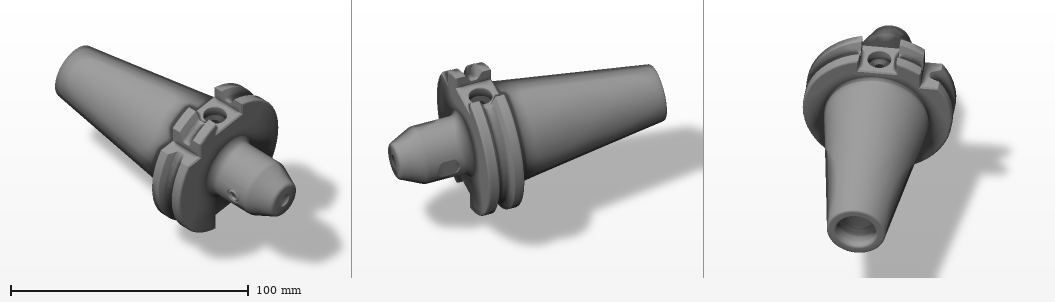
import cadquery as cq
import math


total_length = 118.4

taper_length = 68.9
taper_small_radius = 12.3
taper_large_radius = 22.3
taper_end_fillet = 1.0
collar_radius = 21.9
collar_cone_length = 1.1
collar_fillet = 0.4

flange_front = 71.4
flange_width = 16.0
flange_radius = 63.3 / 2
flange_edge_fillet = 1.0
flange_middle = flange_front + flange_width / 2
flange_back = flange_front + flange_width

groove_floor_radius = 28.1
groove_top_width = 7.3
groove_flank_angle = math.radians(30)
groove_corner_fillet = 1.2

slot_width = 16.1
upper_slot_floor = 25.0
lower_slot_floor = 22.5
notch_offset = 18.4
slot_edge_chamfer = 0.6

chip_radius = 5.0
chip_depth = 4.6
chip_chamfer = 0.2
cross_hole_radius = 1.9

nose_radius = 12.5
nose_cone_start = 107.7
nose_cone_angle = math.radians(24.5)
nose_blend_fillet = 2.5
nose_end_fillet = 1.8
root_arc_radius = 3.5
root_arc_length = 3.2

spot_x = 98.3
spot_radius = 5.0
spot_floor = 11.8

bore_radius = 3.0
counterbore_radius = 8.4
counterbore_mouth_fillet = 1.1
relief_start = 6.0
relief_floor_start = 7.5
relief_floor_end = 8.3
relief_radius = 8.8
thread_mouth_radius = 7.6
thread_core_radius = 6.9
thread_core_end = 32.0
drill_half_angle = math.radians(59)

screw_x = 100.4
screw_radius = 3.0
screw_head_y = -12.4
screw_tip_y = -2.5
screw_edge_chamfer = 0.5
screw_hole_chamfer = 0.4
socket_across_flats = 3.1
socket_depth = 3.5
socket_mouth_radius = 2.0


def turned(profile):
    """Full revolution about the X axis of a profile drawn as (x, radius)."""
    return profile.close().revolve(360, (0, 0, 0), (1, 0, 0))


def make_taper():
    collar_start = taper_length + collar_cone_length
    profile = (
        cq.Workplane("XZ")
        .lineTo(0, taper_small_radius)
        .lineTo(taper_length, taper_large_radius)
        .lineTo(collar_start, collar_radius)
        .lineTo(flange_front - collar_fillet, collar_radius)
        .radiusArc((flange_front, collar_radius + collar_fillet), -collar_fillet)
        .lineTo(flange_front, 0)
    )
    return turned(profile).faces("<X").edges().fillet(taper_end_fillet)


def make_flange():
    disc = (
        cq.Workplane("YZ", origin=(flange_front, 0, 0))
        .circle(flange_radius)
        .extrude(flange_width)
        .edges()
        .fillet(flange_edge_fillet)
    )
    return disc.cut(make_groove()).cut(make_slots())


def make_groove():
    depth = flange_radius - groove_floor_radius
    half_top = groove_top_width / 2
    half_floor = half_top - depth * math.tan(groove_flank_angle)
    tangent = groove_corner_fillet * math.tan((math.pi / 2 - groove_flank_angle) / 2)
    floor_x = half_floor - tangent
    flank_x = half_floor + tangent * math.sin(groove_flank_angle)
    flank_radius = groove_floor_radius + tangent * math.cos(groove_flank_angle)
    profile = (
        cq.Workplane("XZ")
        .moveTo(flange_middle - half_top, flange_radius)
        .lineTo(flange_middle - flank_x, flank_radius)
        .radiusArc((flange_middle - floor_x, groove_floor_radius), -groove_corner_fillet)
        .lineTo(flange_middle + floor_x, groove_floor_radius)
        .radiusArc((flange_middle + flank_x, flank_radius), -groove_corner_fillet)
        .lineTo(flange_middle + half_top, flange_radius)
    )
    return turned(profile)


def slot_cutter(y_min, y_max, z_min, z_max):
    """Box through the flange along X, flared to chamfer the edges on both flange faces."""
    width = y_max - y_min
    height = z_max - z_min
    centre = ((y_min + y_max) / 2, (z_min + z_max) / 2)
    cutter = (
        cq.Workplane("YZ", origin=(flange_front, 0, 0))
        .center(*centre)
        .rect(width, height)
        .extrude(flange_width)
    )
    for face_x, inward in ((flange_front, 1), (flange_back, -1)):
        flare = (
            cq.Workplane("YZ", origin=(face_x, 0, 0))
            .center(*centre)
            .rect(width + 2 * slot_edge_chamfer, height + 2 * slot_edge_chamfer)
            .workplane(offset=inward * slot_edge_chamfer)
            .rect(width, height)
            .loft()
        )
        cutter = cutter.union(flare)
    return cutter


def make_slots():
    beyond = flange_radius + 1.2
    half = slot_width / 2
    upper_slot = slot_cutter(-half, half, upper_slot_floor, beyond)
    lower_slot = slot_cutter(-half, half, -beyond, -lower_slot_floor)
    notch = slot_cutter(-beyond, -notch_offset, notch_offset, beyond)
    return upper_slot.union(lower_slot).union(notch)


def make_nose():
    end_radius = nose_radius - (total_length - nose_cone_start) * math.tan(nose_cone_angle)
    arc_drop = root_arc_radius - math.sqrt(root_arc_radius**2 - root_arc_length**2)
    blank = (
        cq.Workplane("XZ")
        .moveTo(flange_back, 0)
        .lineTo(flange_back, nose_radius + arc_drop)
        .radiusArc((flange_back + root_arc_length, nose_radius), -root_arc_radius)
        .lineTo(nose_cone_start, nose_radius)
        .lineTo(total_length, end_radius)
        .lineTo(total_length, 0)
    )
    cone_edge = cq.selectors.BoxSelector(
        (nose_cone_start - 0.1, -nose_radius - 1.2, -nose_radius - 1.2),
        (nose_cone_start + 0.1, nose_radius + 1.2, nose_radius + 1.2),
        boundingbox=True,
    )
    return (
        turned(blank)
        .edges(cone_edge)
        .fillet(nose_blend_fillet)
        .faces(">X")
        .edges()
        .fillet(nose_end_fillet)
    )


def make_central_bore():
    drill_tip_length = (thread_core_radius - bore_radius) / math.tan(drill_half_angle)
    thread_mouth_start = relief_floor_end + relief_radius - thread_mouth_radius
    thread_core_start = thread_mouth_start + (thread_mouth_radius - thread_core_radius) / math.tan(drill_half_angle)
    profile = (
        cq.Workplane("XZ")
        .lineTo(0, counterbore_radius + counterbore_mouth_fillet)
        .radiusArc((counterbore_mouth_fillet, counterbore_radius), -counterbore_mouth_fillet)
        .lineTo(relief_start, counterbore_radius)
        .lineTo(relief_floor_start, relief_radius)
        .lineTo(relief_floor_end, relief_radius)
        .lineTo(thread_mouth_start, thread_mouth_radius)
        .lineTo(thread_core_start, thread_core_radius)
        .lineTo(thread_core_end, thread_core_radius)
        .lineTo(thread_core_end + drill_tip_length, bore_radius)
        .lineTo(total_length, bore_radius)
        .lineTo(total_length, 0)
    )
    return turned(profile)


def make_chip_pocket():
    floor_centre = (flange_middle, 0, upper_slot_floor)
    pocket = cq.Workplane("XY", origin=floor_centre).circle(chip_radius).extrude(-chip_depth)
    mouth = (
        cq.Workplane("XY", origin=floor_centre)
        .circle(chip_radius + chip_chamfer)
        .workplane(offset=-chip_chamfer)
        .circle(chip_radius)
        .loft()
    )
    cross_hole = cq.Workplane("XY", origin=(flange_middle, 0, 0)).circle(cross_hole_radius)
    return pocket.union(mouth).union(cross_hole.extrude(upper_slot_floor))


def make_balancing_spot():
    return (
        cq.Workplane("XZ", origin=(spot_x, spot_floor, 0))
        .circle(spot_radius)
        .extrude(-nose_radius)
    )


def make_screw_hole():
    return cq.Workplane("XZ", origin=(screw_x, 0, 0)).circle(screw_radius).extrude(2 * nose_radius)


def chamfer_screw_hole(body):
    reach = screw_radius + 0.1
    rim = cq.selectors.BoxSelector(
        (screw_x - reach, -nose_radius - 1.2, -reach),
        (screw_x + reach, -nose_radius + 1.2, reach),
        boundingbox=True,
    )
    return body.edges(rim).chamfer(screw_hole_chamfer)


def make_holder():
    body = make_taper().union(make_flange()).union(make_nose())
    for cutter in (
        make_central_bore(),
        make_chip_pocket(),
        make_balancing_spot(),
        make_screw_hole(),
    ):
        body = body.cut(cutter)
    return chamfer_screw_hole(body)


def make_screw():
    head_plane = cq.Workplane("XZ", origin=(screw_x, screw_head_y, 0))
    corner_diameter = socket_across_flats / math.cos(math.pi / 6)
    mouth_depth = socket_mouth_radius - socket_across_flats / 2
    shank = (
        head_plane.circle(screw_radius)
        .extrude(screw_head_y - screw_tip_y)
        .faces("<Y")
        .edges()
        .chamfer(screw_edge_chamfer)
    )
    socket = head_plane.polygon(6, corner_diameter).extrude(-socket_depth)
    mouth = (
        head_plane.circle(socket_mouth_radius)
        .workplane(offset=-mouth_depth)
        .circle(socket_across_flats / 2)
        .loft()
    )
    return shank.cut(socket).cut(mouth)


holder = make_holder()
clamping_screw = make_screw()

result = cq.Compound.makeCompound([holder.solids().val(), clamping_screw.solids().val()])